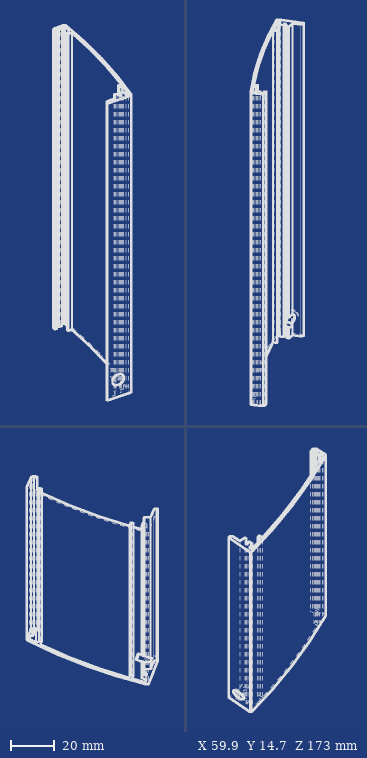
import cadquery as cq
import math

LENGTH = 173.0
WIDTH = 59.9
DEPTH = 14.7
LEFT = -WIDTH / 2
RIGHT = WIDTH / 2
FRONT = -DEPTH / 2
BACK = DEPTH / 2

SKIN = 1.0
ARC_RADIUS = 242.2
CROWN_X = -1.2
CORNER = 0.5

LEFT_RIB_TIP = LEFT + 2.0
LEFT_RIB_BACK = 2.8
LEFT_RIB_FRONT = 1.4
LIP_TIP = LEFT + 2.6
LIP_BACK = -0.2
LIP_FRONT = LIP_BACK - SKIN

PANEL_RIB_FRONT = 3.5
LEFT_PANEL_RIB = (-24.2, -23.2)
RIGHT_PANEL_RIB = (20.6, 22.0)
GUSSET = 1.0

LEG_FOOT_OUTER = 29.4
LEG_FOOT_INNER = 28.7
LEG_INNER = 27.9
FOOT_ROUND_Y = -6.0
SLOT_FLOOR = 28.2
BLOCK_TIP = 25.8
BLOCK_BACK = 3.3
BLOCK_FRONT = 1.4
NOTCH_FLOOR = 27.3
NOTCH_FRONT = 0.9
HOOK_TIP = 25.3
HOOK_BACK = -0.3
HOOK_FRONT = -1.2
HOOK_ROOT_Y = -2.2

PIN_Y = -1.7
PIN_Z = 10.0
SHANK_DIAMETER = 3.0
HOLE_DIAMETER = 3.5
HEAD_DIAMETER = 6.0
HEAD_THICKNESS = 0.9
PIN_TIP = 21.6
HEAD_FACE = 29.5


def panel_point(x, offset=0.0):
    """Point on the panel's outer arc, or on the arc lying offset inside it."""
    radius = ARC_RADIUS - offset
    y = BACK - ARC_RADIUS + math.sqrt(radius**2 - (x - CROWN_X) ** 2)
    return (x, y)


def outer_point(x):
    return panel_point(x)


def inner_point(x):
    return panel_point(x, SKIN)


def inner_arc(sketch, start_x, end_x):
    """Continue an outline along the inside of the panel."""
    middle_x = (start_x + end_x) / 2
    return sketch.threePointArc(inner_point(middle_x), inner_point(end_x))


def cover_outline():
    arc_left = LEFT + CORNER
    arc_right = RIGHT - CORNER
    channel_wall = LEFT + SKIN
    gusset_foot = LEFT_PANEL_RIB[0] - GUSSET
    gusset_tip = inner_point(LEFT_PANEL_RIB[0])[1] - GUSSET

    foot_inset = LEG_FOOT_INNER - LEG_INNER
    foot_height = FOOT_ROUND_Y - FRONT
    foot_radius = (foot_inset**2 + foot_height**2) / (2 * foot_inset)
    half_sweep = math.asin(foot_height / foot_radius) / 2
    foot_round_middle = (
        LEG_INNER + foot_radius * (1 - math.cos(half_sweep)),
        FOOT_ROUND_Y - foot_radius * math.sin(half_sweep),
    )

    outline = (
        cq.Workplane("XY")
        .moveTo(*outer_point(arc_left))
        .threePointArc(outer_point(CROWN_X), outer_point(arc_right))
        .lineTo(RIGHT, outer_point(arc_right)[1] - CORNER)
        .lineTo(LEG_FOOT_OUTER, FRONT)
        .lineTo(LEG_FOOT_INNER, FRONT)
        .threePointArc(foot_round_middle, (LEG_INNER, FOOT_ROUND_Y))
    )

    outline = (
        outline.lineTo(LEG_INNER, HOOK_ROOT_Y)
        .lineTo(HOOK_TIP, HOOK_FRONT)
        .lineTo(HOOK_TIP, HOOK_BACK)
        .lineTo(NOTCH_FLOOR, NOTCH_FRONT)
        .lineTo(NOTCH_FLOOR, BLOCK_FRONT)
        .lineTo(BLOCK_TIP, BLOCK_FRONT)
        .lineTo(BLOCK_TIP, BLOCK_BACK)
        .lineTo(SLOT_FLOOR, BLOCK_BACK)
        .lineTo(*inner_point(SLOT_FLOOR))
    )

    outline = inner_arc(outline, SLOT_FLOOR, RIGHT_PANEL_RIB[1])
    outline = outline.lineTo(RIGHT_PANEL_RIB[1], PANEL_RIB_FRONT).lineTo(RIGHT_PANEL_RIB[0], PANEL_RIB_FRONT)
    outline = outline.lineTo(*inner_point(RIGHT_PANEL_RIB[0]))
    outline = inner_arc(outline, RIGHT_PANEL_RIB[0], LEFT_PANEL_RIB[1])
    outline = outline.lineTo(LEFT_PANEL_RIB[1], PANEL_RIB_FRONT).lineTo(LEFT_PANEL_RIB[0], PANEL_RIB_FRONT)
    outline = outline.lineTo(LEFT_PANEL_RIB[0], gusset_tip).lineTo(*inner_point(gusset_foot))
    outline = inner_arc(outline, gusset_foot, channel_wall + CORNER)

    return (
        outline.lineTo(channel_wall, inner_point(channel_wall)[1] - CORNER)
        .lineTo(channel_wall, LEFT_RIB_BACK)
        .lineTo(LEFT_RIB_TIP, LEFT_RIB_BACK)
        .lineTo(LEFT_RIB_TIP, LEFT_RIB_FRONT)
        .lineTo(channel_wall, LEFT_RIB_FRONT)
        .lineTo(channel_wall, LIP_BACK)
        .lineTo(LIP_TIP, LIP_BACK)
        .lineTo(LIP_TIP, LIP_FRONT)
        .lineTo(channel_wall, LIP_FRONT)
        .lineTo(LEFT, LIP_BACK)
        .lineTo(LEFT, outer_point(arc_left)[1] - CORNER)
        .close()
    )


def pin_cylinder(diameter, start_x, end_x):
    """Cylinder on the pin's axis between two X positions."""
    return (
        cq.Workplane("YZ", origin=(start_x, PIN_Y, PIN_Z))
        .circle(diameter / 2)
        .extrude(end_x - start_x)
    )


def make_cover():
    body = cover_outline().extrude(LENGTH)
    hole = pin_cylinder(HOLE_DIAMETER, PIN_TIP, RIGHT)
    head_recess = pin_cylinder(HEAD_DIAMETER, HEAD_FACE - HEAD_THICKNESS, RIGHT)
    return body.cut(hole).cut(head_recess)


def make_pin():
    head_seat = HEAD_FACE - HEAD_THICKNESS
    shank = pin_cylinder(SHANK_DIAMETER, PIN_TIP, head_seat)
    head = pin_cylinder(HEAD_DIAMETER, head_seat, HEAD_FACE)
    return shank.union(head)


cover = make_cover()
pin = make_pin()
result = cq.Compound.makeCompound([cover.val(), pin.val()])